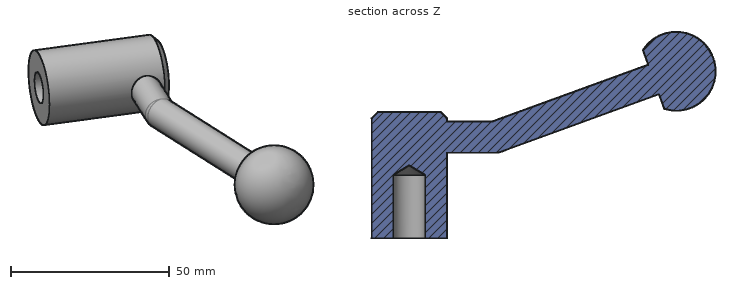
import cadquery as cq
import math

hub_diameter = 24.0
hub_length = 40.0
hub_chamfer = 2.0

hole_diameter = 10.0
hole_depth = 20.0
drill_point_angle = 118.0

arm_diameter = 10.0
arm_inset = 8.0
bend_angle = 20.0

ball_diameter = 25.0
flat_offset = 7.6

overall_x = 108.8
overall_y = 65.3

arm_y = hub_length - arm_inset
ball_x = overall_x - (hub_diameter + ball_diameter) / 2
ball_y = overall_y - ball_diameter / 2
bend = math.radians(bend_angle)
elbow_x = ball_x - (ball_y - arm_y) / math.tan(bend)

elbow = cq.Vector(elbow_x, arm_y, 0)
ball_center = cq.Vector(ball_x, ball_y, 0)
outer_direction = cq.Vector(math.cos(bend), math.sin(bend), 0)


def make_hub():
    hub = cq.Workplane("XZ").circle(hub_diameter / 2).extrude(-hub_length)
    return hub.faces(">Y").edges().chamfer(hub_chamfer)


def make_hole():
    radius = hole_diameter / 2
    point_depth = radius / math.tan(math.radians(drill_point_angle / 2))
    profile = [(0, 0), (radius, 0), (radius, hole_depth), (0, hole_depth + point_depth)]
    return cq.Workplane("XY").polyline(profile).close().revolve(360, (0, 0, 0), (0, 1, 0))


def make_arm():
    radius = arm_diameter / 2
    inner = cq.Solid.makeCylinder(radius, elbow_x, cq.Vector(0, arm_y, 0), cq.Vector(1, 0, 0))
    outer_length = (ball_center - elbow).Length
    outer = cq.Solid.makeCylinder(radius, outer_length, elbow, outer_direction)
    joint = cq.Workplane("XY").sphere(radius).translate(elbow)
    return joint.union(cq.Workplane(inner)).union(cq.Workplane(outer))


def make_ball():
    radius = ball_diameter / 2
    ball = cq.Workplane("XY").sphere(radius)
    keep = cq.Workplane("XY").box(
        ball_diameter, ball_diameter, ball_diameter
    ).translate((radius - flat_offset, 0, 0))
    knob = ball.intersect(keep)
    return knob.rotate((0, 0, 0), (0, 0, 1), bend_angle).translate(ball_center)


result = make_hub().union(make_arm()).union(make_ball()).cut(make_hole())